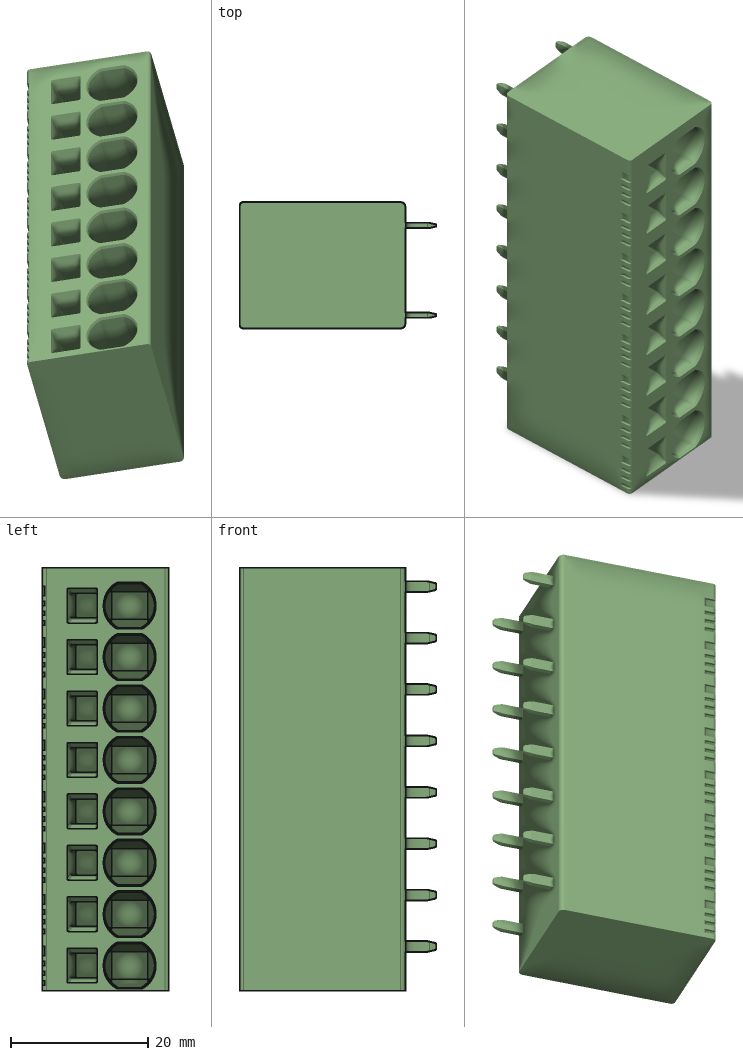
import cadquery as cq
import math

HOUSING_LENGTH = 24.2
HOUSING_WIDTH = 18.5
HOUSING_HEIGHT = 61.8
FRONT_CORNER_RADIUS = 0.55
BACK_CORNER_RADIUS = 0.75

POLE_COUNT = 8
POLE_SPAN = 52.5
POLE_PITCH = POLE_SPAN / (POLE_COUNT - 1)
TOP_POLE_Z = 25.35
ENTRY_Y = -3.5
POCKET_Y = 3.4

ENTRY_RADIUS = 3.65
ENTRY_HALF_HEIGHT = 3.2
ENTRY_CHAMFER = 0.2
ENTRY_CHAMFER_ANGLE = 25.0
ENTRY_DEPTH = 9.9
ENTRY_FLOOR_WIDTH = 5.25
ENTRY_FLOOR_HEIGHT = 4.0
FUNNEL_ANGLE = 30.0

POCKET_WIDTH = 4.4
POCKET_HEIGHT = 5.05
POCKET_RAMP_RISE = 0.75
POCKET_RAMP_ANGLE = 26.0
POCKET_SIDE_SLOPE = 1.25
POCKET_SIDE_ANGLE = 14.0
POCKET_RAMP_BLEND = 1.25
POCKET_CORNER_RADIUS = 0.25

GROOVE_WIDTHS = (1.4, 0.6, 0.6, 0.6)
GROOVE_GAP = 0.8
GROOVE_TOP = 2.85
GROOVE_DEPTH = 0.4
GROOVE_LENGTH = 1.85

PIN_LENGTH = 4.5
PIN_HEIGHT = 1.6
PIN_THICKNESS = 0.8
PIN_TAPER_ANGLE = 13.0
PIN_HEIGHT_TAPER_START = 3.15
PIN_THICKNESS_TAPER_START = 3.45
PIN_END_RADIUS = 0.3
PIN_ROWS_Y = (5.8, -7.3)
PIN_RISE = 2.8

FRONT_PLANE = cq.Plane(origin=(0, 0, 0), xDir=(0, 1, 0), normal=(1, 0, 0))


def make_housing():
    block = cq.Workplane("XY").box(
        HOUSING_LENGTH, HOUSING_WIDTH, HOUSING_HEIGHT, centered=(False, True, True)
    )
    block = block.faces("<X").edges("|Z").fillet(FRONT_CORNER_RADIUS)
    return block.faces(">X").edges("|Z").fillet(BACK_CORNER_RADIUS)


def entry_outline(growth):
    """Circle cut off by a flat above and below, offset outwards by growth."""
    radius = ENTRY_RADIUS + growth
    half_height = ENTRY_HALF_HEIGHT + growth
    half_flat = math.sqrt(radius**2 - half_height**2)
    return (
        cq.Workplane(FRONT_PLANE)
        .moveTo(-half_flat, half_height)
        .lineTo(half_flat, half_height)
        .threePointArc((radius, 0), (half_flat, -half_height))
        .lineTo(-half_flat, -half_height)
        .threePointArc((-radius, 0), (-half_flat, half_height))
        .close()
    )


def make_entry():
    bore = entry_outline(0).extrude(ENTRY_DEPTH)
    funnel = (
        cq.Workplane(FRONT_PLANE.rotated((0, 180, 0)))
        .workplane(offset=-ENTRY_DEPTH)
        .rect(ENTRY_FLOOR_WIDTH, ENTRY_FLOOR_HEIGHT)
        .extrude(ENTRY_DEPTH, taper=-FUNNEL_ANGLE)
    )
    chamfer_depth = ENTRY_CHAMFER / math.tan(math.radians(ENTRY_CHAMFER_ANGLE))
    mouth = entry_outline(ENTRY_CHAMFER).extrude(chamfer_depth, taper=ENTRY_CHAMFER_ANGLE)
    return bore.intersect(funnel).union(mouth)


def make_pocket():
    half_height = POCKET_HEIGHT / 2
    half_width = POCKET_WIDTH / 2
    ramp_depth = POCKET_RAMP_RISE / math.tan(math.radians(POCKET_RAMP_ANGLE))
    depth = POCKET_SIDE_SLOPE / math.tan(math.radians(POCKET_SIDE_ANGLE))
    inner_half_height = half_height - POCKET_RAMP_RISE
    side_profile = (
        cq.Workplane("XZ")
        .polyline([
            (0, half_height),
            (ramp_depth, inner_half_height),
            (depth, inner_half_height),
            (depth, -inner_half_height),
            (ramp_depth, -inner_half_height),
            (0, -half_height),
        ])
        .close()
        .extrude(half_width, both=True)
        .edges("|Y")
        .edges("not(<X or >X)")
        .fillet(POCKET_RAMP_BLEND)
    )
    plan_profile = (
        cq.Workplane("XY")
        .polyline([
            (0, -half_width),
            (depth, -half_width),
            (depth, half_width - POCKET_SIDE_SLOPE),
            (0, half_width),
        ])
        .close()
        .extrude(half_height, both=True)
    )
    pocket = side_profile.intersect(plan_profile)
    return pocket.edges("not(<X or >X or |Y)").fillet(POCKET_CORNER_RADIUS)


def tapered_strip(plane, width, taper_start, thickness):
    """Strip along +X whose width narrows from taper_start to the pin end."""
    half_width = width / 2
    end_half_width = half_width - (PIN_LENGTH - taper_start) * math.tan(math.radians(PIN_TAPER_ANGLE))
    return (
        cq.Workplane(plane)
        .polyline([
            (0, half_width),
            (taper_start, half_width),
            (PIN_LENGTH, end_half_width),
            (PIN_LENGTH, -end_half_width),
            (taper_start, -half_width),
            (0, -half_width),
        ])
        .close()
        .extrude(thickness / 2, both=True)
    )


def make_pin():
    """Pin along +X, starting at X = 0."""
    side_strip = tapered_strip("XZ", PIN_HEIGHT, PIN_HEIGHT_TAPER_START, PIN_THICKNESS)
    side_strip = side_strip.faces(">X").edges("|Y").fillet(PIN_END_RADIUS)
    plan_strip = tapered_strip("XY", PIN_THICKNESS, PIN_THICKNESS_TAPER_START, PIN_HEIGHT)
    return side_strip.intersect(plan_strip)


def make_grooves():
    """Grooves of one pole, open at the front face and running out up a ramp at the back."""
    bottom_y = HOUSING_WIDTH / 2 - GROOVE_DEPTH
    grooves = cq.Workplane("XY")
    top_z = GROOVE_TOP
    for width in GROOVE_WIDTHS:
        groove = (
            cq.Workplane("XY")
            .workplane(offset=top_z - width)
            .moveTo(0, bottom_y)
            .lineTo(GROOVE_LENGTH - GROOVE_DEPTH, bottom_y)
            .lineTo(GROOVE_LENGTH, HOUSING_WIDTH / 2)
            .lineTo(0, HOUSING_WIDTH / 2)
            .close()
            .extrude(width)
        )
        grooves = grooves.add(groove)
        top_z -= width + GROOVE_GAP
    return grooves.combine()


entry = make_entry()
pocket = make_pocket()
grooves = make_grooves()
pin = make_pin()

result = make_housing()
for pole in range(POLE_COUNT):
    pole_z = TOP_POLE_Z - pole * POLE_PITCH
    result = result.cut(entry.translate((0, ENTRY_Y, pole_z)))
    result = result.cut(pocket.translate((0, POCKET_Y, pole_z)))
    result = result.cut(grooves.translate((0, 0, pole_z)))
    for row_y in PIN_ROWS_Y:
        result = result.union(pin.translate((HOUSING_LENGTH, row_y, pole_z + PIN_RISE)))